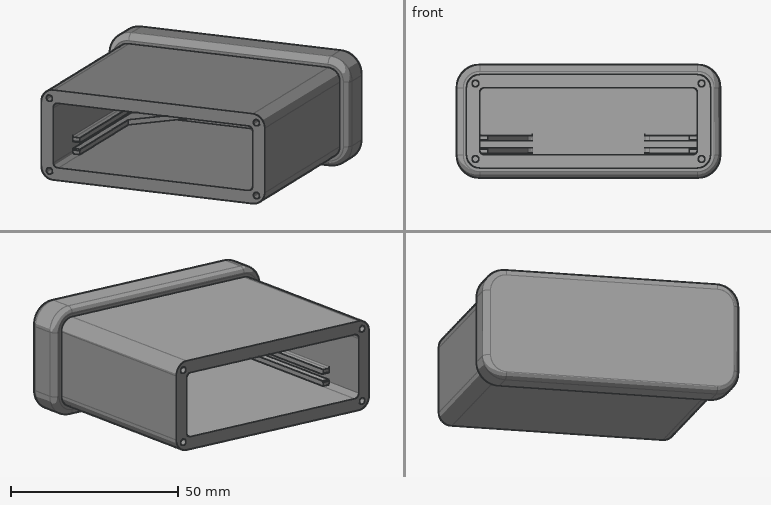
import cadquery as cq
import math

flange_width = 79.0
flange_height = 34.0
depth = 67.0
flange_depth = 11.0
flange_overhang = 3.0
flange_round = 2.0
body_width = flange_width - 2 * flange_overhang
body_height = flange_height - 2 * flange_overhang
wall = 3.95
body_corner_radius = wall
flange_corner_radius = body_corner_radius + flange_overhang
cavity_corner_radius = 1.5
mouth_y = -depth / 2
back_y = depth / 2
floor_y = back_y - wall
cavity_half_width = body_width / 2 - wall
cavity_bottom = wall - body_height / 2

screw_diameter = 2.0
screw_depth = 10.0
screw_x = 33.8
screw_z = 11.3

rail_height = 1.6
rail_clearance = 0.51
slot_height = 2.05
rail_width = 2.4
gusset_width = 15.0
rail_setback = 14.4
cove_radius = 0.5
cove_overlap = 0.1
nose_chamfer = 0.4
gusset_fillet = 1.9
gusset_blend = gusset_fillet * math.tan(math.pi / 8)
wall_overlap = 0.8
rail_bottom = cavity_bottom + rail_clearance


def rounded_block(width, height, length, start_y, corner_radius):
    """Block running along +Y from start_y with rounded corners in XZ."""
    block = cq.Workplane("XY").box(width, length, height)
    block = block.edges("|Y").fillet(corner_radius)
    return block.translate((0, start_y + length / 2, 0))


def cove_profile(plane, direction=1):
    """Concave fillet section under a rail, in the corner at the plane's origin."""
    far = direction * cove_radius
    inset = cove_radius * (1 - math.sqrt(0.5))
    back = -direction * cove_overlap
    return (
        plane.moveTo(back, cove_overlap)
        .lineTo(far, cove_overlap)
        .lineTo(far, 0)
        .threePointArc((direction * inset, -inset), (0, -cove_radius))
        .lineTo(back, -cove_radius)
        .close()
    )


def lower_left_rail():
    """Rail on the -X wall, with its board slot side facing up."""
    wall_x = -cavity_half_width
    nose_y = mouth_y + rail_setback
    strip_x = wall_x + rail_width
    tip_x = wall_x + gusset_width
    gusset_start_y = floor_y - (gusset_width - rail_width)
    blend_offset = gusset_blend * math.sqrt(0.5)
    rail = (
        cq.Workplane("XY")
        .workplane(offset=rail_bottom)
        .moveTo(wall_x - wall_overlap, nose_y)
        .lineTo(strip_x, nose_y)
        .lineTo(strip_x, gusset_start_y)
        .lineTo(tip_x - blend_offset, floor_y - blend_offset)
        .tangentArcPoint((tip_x + gusset_blend, floor_y), relative=False)
        .lineTo(tip_x + gusset_blend, floor_y + wall_overlap)
        .lineTo(wall_x - wall_overlap, floor_y + wall_overlap)
        .close()
        .extrude(rail_height)
    )
    rail = rail.faces("<Y").edges(">Z").chamfer(nose_chamfer)

    wall_cove = cove_profile(cq.Workplane("XZ", origin=(wall_x, nose_y, rail_bottom)))
    wall_cove = wall_cove.extrude(nose_y - floor_y)
    back_cove = cove_profile(cq.Workplane("YZ", origin=(wall_x, floor_y, rail_bottom)), -1)
    back_cove = back_cove.extrude(gusset_width + gusset_blend)
    return rail.union(wall_cove).union(back_cove)


body = rounded_block(body_width, body_height, depth - flange_round, mouth_y, body_corner_radius)
flange = rounded_block(
    flange_width, flange_height, flange_depth, back_y - flange_depth, flange_corner_radius
)
flange = flange.faces("<Y or >Y").edges().fillet(flange_round)
cavity = rounded_block(
    2 * cavity_half_width, -2 * cavity_bottom, depth - wall, mouth_y, cavity_corner_radius
)
shell = body.union(flange).cut(cavity)

slot_middle = rail_bottom + rail_height + slot_height / 2
lower_left = lower_left_rail()
upper_left = lower_left.mirror("XY", (0, 0, slot_middle))
for rail in (lower_left, upper_left):
    shell = shell.union(rail).union(rail.mirror("YZ"))

screws = (
    cq.Workplane("XZ", origin=(0, mouth_y, 0))
    .rect(2 * screw_x, 2 * screw_z, forConstruction=True)
    .vertices()
    .circle(screw_diameter / 2)
    .extrude(-screw_depth)
)
result = shell.cut(screws)